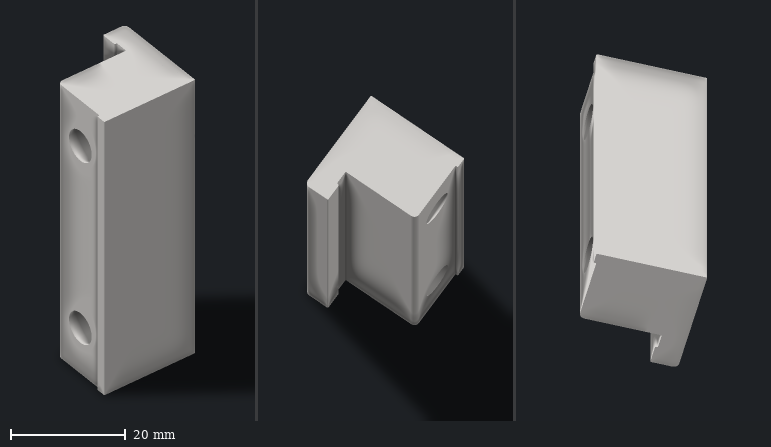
import cadquery as cq

width = 20.0
depth = 20.0
height = 60.0

flange_overhang = 6.0
flange_thickness = 5.0
lip_width = 3.35
lip_height = 0.5
foot_width = 2.0
foot_height = 0.5

large_radius = 1.0
small_radius = 0.2

hole_diameter = 6.5
hole_x = 12.5
hole_end_distance = 10.0

flange_face_y = depth - flange_thickness
recess_y = flange_face_y + lip_height
foot_x = width - foot_width


def extrude_profile():
    """L-shaped bar with a lip under the flange and a narrow foot."""
    return (
        cq.Workplane("XY")
        .moveTo(0, depth)
        .lineTo(0, flange_face_y)
        .lineTo(lip_width, flange_face_y)
        .lineTo(lip_width, recess_y)
        .lineTo(flange_overhang, recess_y)
        .lineTo(flange_overhang, foot_height)
        .lineTo(foot_x, foot_height)
        .lineTo(foot_x, 0)
        .lineTo(width, 0)
        .lineTo(width, depth)
        .close()
        .extrude(height)
    )


def round_edges(body, corners, radius):
    """Round the full-height edges that pass through the given XY corners."""
    for x, y in corners:
        nearest = cq.selectors.NearestToPointSelector((x, y, height / 2))
        body = body.edges("|Z").edges(nearest).fillet(radius)
    return body


large_corners = [(0, depth), (flange_overhang, foot_height)]
small_corners = [
    (0, flange_face_y),
    (lip_width, flange_face_y),
    (lip_width, recess_y),
    (flange_overhang, recess_y),
    (foot_x, foot_height),
    (width, 0),
    (width, depth),
]

body = extrude_profile()
body = round_edges(body, large_corners, large_radius)
body = round_edges(body, small_corners, small_radius)

for hole_z in (hole_end_distance, height - hole_end_distance):
    hole = (
        cq.Workplane("XZ", origin=(hole_x, 0, hole_z))
        .circle(hole_diameter / 2)
        .extrude(-depth)
    )
    body = body.cut(hole)

result = body